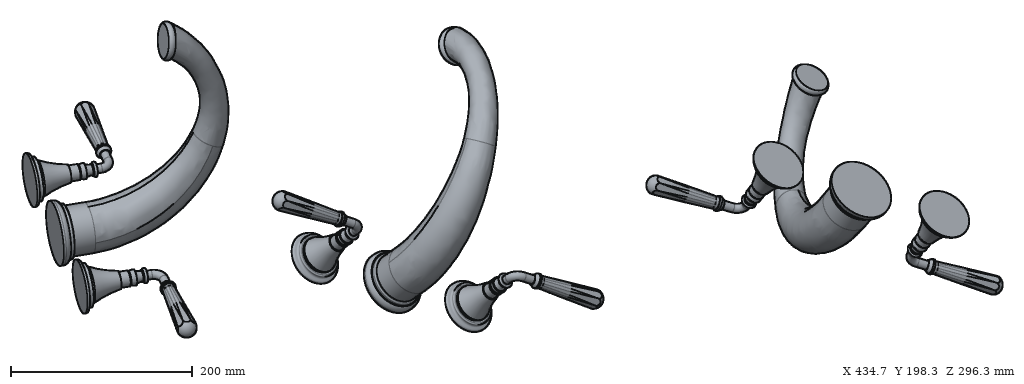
import cadquery as cq
import math


OVERALL_WIDTH = 434.7

FLANGE_RADIUS = 36.5
FLANGE_EDGE_HEIGHT = 2.5
FLANGE_SHOULDER_RADIUS = 35.5
FLANGE_SHOULDER_HEIGHT = 6.5
FLANGE_TOP_RADIUS = 32.5
FLANGE_HEIGHT = 9.5
BASE_BEAD_RADIUS = 31.7
BASE_BEAD_TOP = 14.5
BASE_BEAD_ROUNDING = 1.7

TUBE_RADIUS = 28.5
BEND_START = 38.3
OUTER_BEND_RADIUS = 160.0
LOWER_INNER_BEND_RADIUS = 131.5
UPPER_INNER_BEND_RADIUS = 91.7
JOINT_OUTER_ANGLE = -15.5
JOINT_INNER_ANGLE = -24.0
END_OUTER_ANGLE = 52.5
END_INNER_ANGLE = 53.8
LOWER_HALF_WIDTHS = (TUBE_RADIUS, 27.5, 24.8, 21.5, 18.0)
UPPER_HALF_WIDTHS = (LOWER_HALF_WIDTHS[-1], 16.0, 15.0, 16.0, 18.3)

OUTLET_Y = 124.0
OUTLET_Z = 239.0
OUTLET_TILT = 9.8
OUTLET_FACE_RADIUS = 19.5
OUTLET_RING_RADIUS = 21.7
OUTLET_BACK_RADIUS = 18.3
OUTLET_RING_THICKNESS = 8.5

HANDLE_OFFSET = 101.7
FOOT_RADIUS = 30.5
FOOT_HEIGHT = 9.0
FOOT_TOP_RADIUS = 23.0
FOOT_CURVE_POINTS = ((29.0, 3.5), (25.5, 4.5), (24.8, 7.0))
BELL_BOTTOM = 11.7
BELL_BOTTOM_RADIUS = 21.0
BELL_MIDDLE = 28.3
BELL_MIDDLE_RADIUS = 14.5
BELL_TOP = 44.8
BELL_TOP_RADIUS = 10.5
COLLAR_RADIUS = 9.0
COLLAR_TOP = 55.5
GROOVE_RADIUS = 8.0
GROOVE_TOP = 57.0
LOWER_BEAD_SHOULDER = 60.0
LOWER_BEAD_TOP = 63.0
TAPER_BOTTOM_RADIUS = 8.0
TAPER_MIDDLE_RADIUS = 6.5
TAPER_MIDDLE = 67.0
TAPER_TOP_RADIUS = 6.0
TAPER_TOP = 71.0
UPPER_BEAD_EDGE_RADIUS = 7.0
UPPER_BEAD_BOTTOM = 72.0
UPPER_BEAD_RADIUS = 8.5
UPPER_BEAD_TOP = 76.0
NECK_RADIUS = 5.0
NECK_TOP = 81.5
ELBOW_BEND_RADIUS = 11.5

LEVER_HEIGHT = NECK_TOP + ELBOW_BEND_RADIUS
STEM_END = 23.5
LEVER_RING_START = 28.0
LEVER_RING_END = 30.5
GRIP_START = 34.5
LEVER_TIP = OVERALL_WIDTH / 2 - HANDLE_OFFSET
BALL_RADIUS = 11.5
BALL_CENTER = LEVER_TIP - BALL_RADIUS
STEM_RING_RADIUS = 6.0
STEM_RING_MIDDLE = 26.0
STEM_RING_MIDDLE_RADIUS = 7.5
LEVER_RING_RADIUS = 8.5
GRIP_NECK_RADIUS = 7.5
FLAT_COUNT = 8
FLAT_START_DEPTH = 0.1


def point_on_circle(center, radius, degrees):
    """Return the plane point at an angle on a circle."""
    angle = math.radians(degrees)
    return center[0] + radius * math.cos(angle), center[1] + radius * math.sin(angle)


def make_elliptical_section(outer_point, inner_point, half_width):
    """Return an ellipse that spans two (Y, Z) points and has the given half width along X."""
    chord_y = outer_point[0] - inner_point[0]
    chord_z = outer_point[1] - inner_point[1]
    center = cq.Vector(0, (outer_point[0] + inner_point[0]) / 2, (outer_point[1] + inner_point[1]) / 2)
    return cq.Wire.makeEllipse(
        half_width,
        math.hypot(chord_y, chord_z) / 2,
        center,
        cq.Vector(0, chord_z, -chord_y),
        cq.Vector(1, 0, 0),
    )


def make_bend(outer_angles, inner_center, inner_radius, inner_angles, half_widths):
    """Loft elliptical sections that run between the outer and the inner arc of a bend."""
    outer_center = (BEND_START, OUTER_BEND_RADIUS - TUBE_RADIUS)
    sections = []
    for index, half_width in enumerate(half_widths):
        fraction = index / (len(half_widths) - 1)
        outer_angle = outer_angles[0] + fraction * (outer_angles[1] - outer_angles[0])
        inner_angle = inner_angles[0] + fraction * (inner_angles[1] - inner_angles[0])
        outer_point = point_on_circle(outer_center, OUTER_BEND_RADIUS, outer_angle)
        inner_point = point_on_circle(inner_center, inner_radius, inner_angle)
        sections.append(make_elliptical_section(outer_point, inner_point, half_width))
    return cq.Workplane(cq.Solid.makeLoft(sections))


def make_spout_base():
    """Flange, bead and straight stub of the spout, turned about the Y axis."""
    return (
        cq.Workplane("XY")
        .lineTo(FLANGE_RADIUS, 0)
        .lineTo(FLANGE_RADIUS, FLANGE_EDGE_HEIGHT)
        .threePointArc((FLANGE_SHOULDER_RADIUS, FLANGE_SHOULDER_HEIGHT), (FLANGE_TOP_RADIUS, FLANGE_HEIGHT))
        .lineTo(BASE_BEAD_RADIUS, FLANGE_HEIGHT)
        .lineTo(BASE_BEAD_RADIUS, BASE_BEAD_TOP - BASE_BEAD_ROUNDING)
        .tangentArcPoint((-BASE_BEAD_ROUNDING, BASE_BEAD_ROUNDING))
        .lineTo(TUBE_RADIUS, BASE_BEAD_TOP)
        .lineTo(TUBE_RADIUS, BEND_START)
        .lineTo(0, BEND_START)
        .close()
        .revolve(360, (0, 0), (0, 1))
    )


def make_outlet_ring():
    """Rounded ring with a flat face at the end of the spout."""
    ring = (
        cq.Workplane("XY")
        .lineTo(OUTLET_FACE_RADIUS, 0)
        .threePointArc(
            (OUTLET_RING_RADIUS, OUTLET_RING_THICKNESS / 2),
            (OUTLET_BACK_RADIUS, OUTLET_RING_THICKNESS),
        )
        .lineTo(0, OUTLET_RING_THICKNESS)
        .close()
        .revolve(360, (0, 0), (0, 1))
    )
    return ring.rotate((0, 0, 0), (1, 0, 0), -OUTLET_TILT).translate((0, OUTLET_Y, OUTLET_Z))


def make_spout():
    """Whole spout: base, two tapering bends and outlet ring."""
    lower_center = (BEND_START, LOWER_INNER_BEND_RADIUS + TUBE_RADIUS)
    upper_center = point_on_circle(
        lower_center, LOWER_INNER_BEND_RADIUS - UPPER_INNER_BEND_RADIUS, JOINT_INNER_ANGLE
    )
    lower_bend = make_bend(
        (-90.0, JOINT_OUTER_ANGLE),
        lower_center,
        LOWER_INNER_BEND_RADIUS,
        (-90.0, JOINT_INNER_ANGLE),
        LOWER_HALF_WIDTHS,
    )
    upper_bend = make_bend(
        (JOINT_OUTER_ANGLE, END_OUTER_ANGLE),
        upper_center,
        UPPER_INNER_BEND_RADIUS,
        (JOINT_INNER_ANGLE, END_INNER_ANGLE),
        UPPER_HALF_WIDTHS,
    )
    spout = make_spout_base().union(lower_bend).union(upper_bend).union(make_outlet_ring())
    return spout.solids()


def make_post():
    """Foot, bell and beads of a handle, turned about the Y axis."""
    upper_bead_middle = (UPPER_BEAD_BOTTOM + UPPER_BEAD_TOP) / 2
    return (
        cq.Workplane("XY")
        .lineTo(FOOT_RADIUS, 0)
        .spline(
            (*FOOT_CURVE_POINTS, (FOOT_TOP_RADIUS, FOOT_HEIGHT)),
            tangents=((0, 1), (-1, 0)),
            includeCurrent=True,
        )
        .lineTo(BELL_BOTTOM_RADIUS, FOOT_HEIGHT)
        .lineTo(BELL_BOTTOM_RADIUS, BELL_BOTTOM)
        .threePointArc((BELL_MIDDLE_RADIUS, BELL_MIDDLE), (BELL_TOP_RADIUS, BELL_TOP))
        .lineTo(COLLAR_RADIUS, BELL_TOP)
        .lineTo(COLLAR_RADIUS, COLLAR_TOP)
        .lineTo(GROOVE_RADIUS, COLLAR_TOP)
        .lineTo(GROOVE_RADIUS, GROOVE_TOP)
        .threePointArc((COLLAR_RADIUS, LOWER_BEAD_SHOULDER), (COLLAR_RADIUS, LOWER_BEAD_TOP))
        .lineTo(TAPER_BOTTOM_RADIUS, LOWER_BEAD_TOP)
        .threePointArc((TAPER_MIDDLE_RADIUS, TAPER_MIDDLE), (TAPER_TOP_RADIUS, TAPER_TOP))
        .lineTo(UPPER_BEAD_EDGE_RADIUS, TAPER_TOP)
        .lineTo(UPPER_BEAD_EDGE_RADIUS, UPPER_BEAD_BOTTOM)
        .threePointArc((UPPER_BEAD_RADIUS, upper_bead_middle), (UPPER_BEAD_EDGE_RADIUS, UPPER_BEAD_TOP))
        .lineTo(NECK_RADIUS, UPPER_BEAD_TOP)
        .lineTo(NECK_RADIUS, NECK_TOP)
        .lineTo(0, NECK_TOP)
        .close()
        .revolve(360, (0, 0), (0, 1))
    )


def make_elbow():
    """Quarter bend that leads from the post into the lever."""
    return (
        cq.Workplane("XZ", origin=(0, NECK_TOP, 0))
        .circle(NECK_RADIUS)
        .revolve(90, (ELBOW_BEND_RADIUS, 0), (ELBOW_BEND_RADIUS, -1))
    )


def make_lever_stem():
    """Stem and ring of the lever, turned about the lever axis along X."""
    return (
        cq.Workplane("XY", origin=(0, LEVER_HEIGHT, 0))
        .moveTo(ELBOW_BEND_RADIUS, 0)
        .lineTo(ELBOW_BEND_RADIUS, NECK_RADIUS)
        .lineTo(STEM_END, NECK_RADIUS)
        .lineTo(STEM_END, STEM_RING_RADIUS)
        .threePointArc((STEM_RING_MIDDLE, STEM_RING_MIDDLE_RADIUS), (LEVER_RING_START, LEVER_RING_RADIUS))
        .lineTo(LEVER_RING_END, LEVER_RING_RADIUS)
        .lineTo(LEVER_RING_END, GRIP_NECK_RADIUS)
        .lineTo(GRIP_START, GRIP_NECK_RADIUS)
        .lineTo(GRIP_START, 0)
        .close()
        .revolve(360, (0, 0), (1, 0))
    )


def flat_level(position):
    """Distance from the lever axis to a flat, whose depth below the cone grows as a square."""
    fraction = (position - GRIP_START) / (BALL_CENTER - GRIP_START)
    cone_radius = GRIP_NECK_RADIUS + fraction * (BALL_RADIUS - GRIP_NECK_RADIUS)
    full_depth = BALL_RADIUS * (1 - math.cos(math.pi / FLAT_COUNT))
    return cone_radius - full_depth * fraction**2


def make_grip():
    """Ball-ended cone with flats that fade out toward the lever ring."""
    round_grip = (
        cq.Workplane("XY", origin=(0, LEVER_HEIGHT, 0))
        .moveTo(GRIP_START, 0)
        .lineTo(GRIP_START, GRIP_NECK_RADIUS)
        .lineTo(BALL_CENTER, BALL_RADIUS)
        .threePointArc(point_on_circle((BALL_CENTER, 0), BALL_RADIUS, 45), (LEVER_TIP, 0))
        .close()
        .revolve(360, (0, 0), (1, 0))
    )
    middle = (GRIP_START + LEVER_TIP) / 2
    clearance = 2 * BALL_RADIUS
    flat_cutter = (
        cq.Workplane("XY", origin=(0, LEVER_HEIGHT, 0))
        .moveTo(GRIP_START, flat_level(GRIP_START) - FLAT_START_DEPTH)
        .threePointArc((middle, flat_level(middle)), (LEVER_TIP, flat_level(LEVER_TIP)))
        .lineTo(LEVER_TIP, clearance)
        .lineTo(GRIP_START, clearance)
        .close()
        .extrude(BALL_RADIUS, both=True)
    )
    grip = round_grip
    for index in range(FLAT_COUNT):
        angle = index * 360 / FLAT_COUNT
        grip = grip.cut(flat_cutter.rotate((0, LEVER_HEIGHT, 0), (1, LEVER_HEIGHT, 0), angle))
    return grip


def make_handle(side):
    """Handle whose lever points away from the spout; side is 1 for +X and -1 for -X."""
    handle = make_post().union(make_elbow()).union(make_lever_stem()).union(make_grip())
    if side < 0:
        handle = handle.rotate((0, 0, 0), (0, 1, 0), 180)
    return handle.translate((side * HANDLE_OFFSET, 0, 0)).solids()


spout = make_spout()
handles = [make_handle(side) for side in (-1, 1)]

result = cq.Compound.makeCompound([spout.val(), *[handle.val() for handle in handles]])